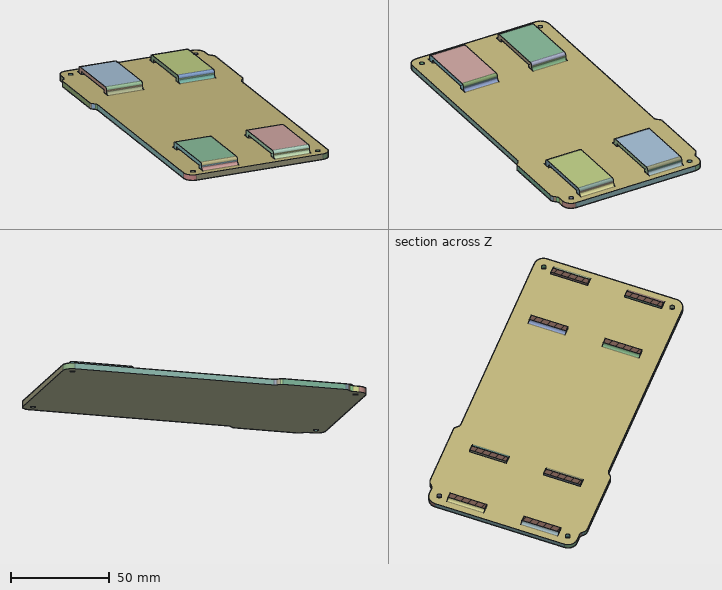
import cadquery as cq

length = 160.0
width = 80.0
thickness = 3.0
corner_radius = 5.0
hole_diameter = 2.4
hole_inset = 5.3

overall_width = 85.0
ramp_rise = (overall_width - width) / 2
wide_start = -length / 2 + 9.1
wide_end = -length / 2 + 49.1
near_ramp_radius = 2.5
far_ramp_top_radius = 1.5
far_ramp_foot_radius = 2.0

overall_height = 6.7
bridge_length = 34.0
bridge_width = 20.0
bridge_end_inset = 5.0
bridge_round = 1.5
leg_thickness = 3.0
opening_height = 1.5
bridge_x = length / 2 - bridge_end_inset - bridge_length / 2
bridge_y = 20.0


def make_plate():
    """Plate with rounded corners, a wide section and corner holes."""
    plate = cq.Workplane("XY").rect(length, width).extrude(thickness)
    plate = plate.edges("|Z").fillet(corner_radius)

    half_width = overall_width / 2
    wide_section = (
        cq.Workplane("XY")
        .moveTo(wide_start, -width / 2)
        .lineTo(wide_start + ramp_rise, -half_width)
        .lineTo(wide_end - ramp_rise, -half_width)
        .lineTo(wide_end, -width / 2)
        .lineTo(wide_end, width / 2)
        .lineTo(wide_end - ramp_rise, half_width)
        .lineTo(wide_start + ramp_rise, half_width)
        .lineTo(wide_start, width / 2)
        .close()
        .extrude(thickness)
    )
    plate = plate.union(wide_section)

    ramp_ends = (
        (wide_start, near_ramp_radius),
        (wide_start + ramp_rise, near_ramp_radius),
        (wide_end - ramp_rise, far_ramp_top_radius),
        (wide_end, far_ramp_foot_radius),
    )
    for corner_x, radius in ramp_ends:
        selection = cq.selectors.BoxSelector(
            (corner_x - ramp_rise / 4, -overall_width, 0),
            (corner_x + ramp_rise / 4, overall_width, thickness),
        )
        plate = plate.edges("|Z").edges(selection).fillet(radius)

    holes = (
        cq.Workplane("XY")
        .rect(length - 2 * hole_inset, width - 2 * hole_inset, forConstruction=True)
        .vertices()
        .circle(hole_diameter / 2)
        .extrude(thickness)
    )
    return plate.cut(holes)


def make_bridge():
    """Bridge centred on X = Y = 0, with rounded shoulders and flared feet."""
    half_length = bridge_length / 2
    foot = half_length + bridge_round
    inner = half_length - leg_thickness
    flat = half_length - bridge_round
    foot_top = thickness + bridge_round
    shoulder = overall_height - bridge_round
    ceiling = thickness + opening_height
    return (
        cq.Workplane("XZ")
        .moveTo(-foot, thickness)
        .radiusArc((-half_length, foot_top), -bridge_round)
        .lineTo(-half_length, shoulder)
        .radiusArc((-flat, overall_height), bridge_round)
        .lineTo(flat, overall_height)
        .radiusArc((half_length, shoulder), bridge_round)
        .lineTo(half_length, foot_top)
        .radiusArc((foot, thickness), -bridge_round)
        .lineTo(inner, thickness)
        .lineTo(inner, ceiling)
        .lineTo(-inner, ceiling)
        .lineTo(-inner, thickness)
        .close()
        .extrude(bridge_width / 2, both=True)
    )


result = make_plate()
bridge = make_bridge()
for x in (-bridge_x, bridge_x):
    for y in (-bridge_y, bridge_y):
        result = result.union(bridge.translate((x, y, 0)))